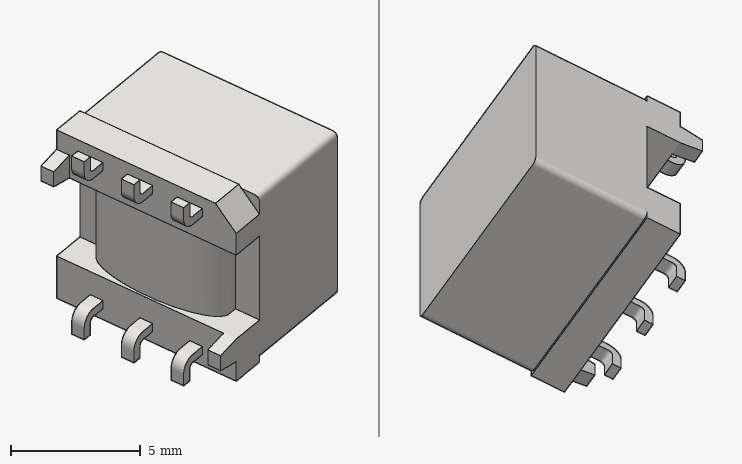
import cadquery as cq

width = 8.65
core_depth = 5.0
core_height = 7.935
core_edge_radius = 0.25

rail_depth = 1.5
rail_span = 8.22
rail_gap = 4.1
rail_chamfer = 1.0

winding_width = 6.325
winding_straight = 0.4
winding_depth = 1.4

lead_count = 3
lead_pitch = 2.39
lead_width = 0.61
lead_thickness = 0.39
lead_inner_radius = 0.2
lead_length = 1.2
lead_height = 1.175
lead_tip_span = 8.7

peg_width = 0.62
peg_base = 1.11
peg_taper = 0.19
peg_length = 1.0

rail_height = (rail_span - rail_gap) / 2
rail_front = -rail_depth


def make_core():
    """Solid block with its four depthwise edges rounded."""
    core = cq.Workplane("XY").box(width, core_depth, core_height, centered=(True, False, True))
    return core.edges("|Y").fillet(core_edge_radius)


def make_rail():
    """Upper rail on the front of the core."""
    rail = cq.Workplane("XY").box(width, rail_depth, rail_height, centered=(True, False, False))
    return rail.translate((0, rail_front, rail_gap / 2))


def make_winding():
    """Short straight flanks closed by a half ellipse, filling the gap between the rails."""
    half_width = winding_width / 2
    bulge = winding_depth - winding_straight
    return (
        cq.Workplane("XY", origin=(0, 0, -rail_gap / 2))
        .moveTo(half_width, 0)
        .lineTo(-half_width, 0)
        .lineTo(-half_width, -winding_straight)
        .ellipseArc(half_width, bulge, 180, 360, startAtCurrent=True)
        .close()
        .extrude(rail_gap)
    )


def make_lead(x):
    """Upper lead: runs forward from the rail, then bends up to its tip."""
    outer_radius = lead_inner_radius + lead_thickness
    front = rail_front - lead_length
    back_of_tip = front + lead_thickness
    tip = lead_tip_span / 2
    bottom = tip - lead_height
    top_of_foot = bottom + lead_thickness
    return (
        cq.Workplane("YZ", origin=(x - lead_width / 2, 0, 0))
        .moveTo(rail_front, bottom)
        .lineTo(front + outer_radius, bottom)
        .radiusArc((front, bottom + outer_radius), outer_radius)
        .lineTo(front, tip)
        .lineTo(back_of_tip, tip)
        .lineTo(back_of_tip, top_of_foot + lead_inner_radius)
        .radiusArc((back_of_tip + lead_inner_radius, top_of_foot), -lead_inner_radius)
        .lineTo(rail_front, top_of_foot)
        .close()
        .extrude(lead_width)
    )


def make_peg():
    """Peg at the left inner corner of the upper rail, tapering in height towards its tip."""
    low = rail_gap / 2
    high = low + peg_base
    tip = rail_front - peg_length
    profile = [
        (rail_front, low),
        (rail_front, high),
        (tip, high - peg_taper),
        (tip, low + peg_taper),
    ]
    return cq.Workplane("YZ", origin=(-width / 2, 0, 0)).polyline(profile).close().extrude(peg_width)


def make_half():
    """Upper rail with its leads and peg."""
    half = make_rail().union(make_peg())
    for index in range(lead_count):
        x = (index - (lead_count - 1) / 2) * lead_pitch
        half = half.union(make_lead(x))
    return half


half = make_half()
lower_half = half.rotate((0, 0, 0), (0, 1, 0), 180)

upper_half = half.edges(cq.selectors.NearestToPointSelector((width / 2, rail_front / 2, rail_span / 2)))
upper_half = upper_half.chamfer(rail_chamfer)

result = make_core().union(make_winding()).union(upper_half).union(lower_half)